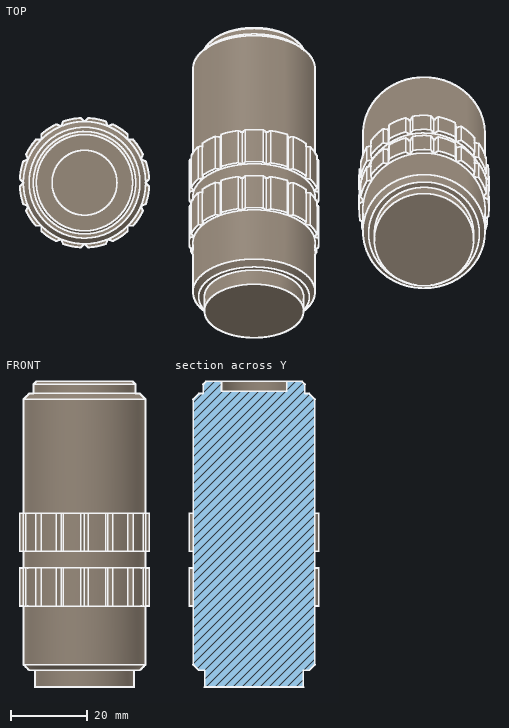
import cadquery as cq
import math

total_height = 80.0
body_radius = 16.0
body_chamfer = 1.5

bottom_neck_radius = 13.0
bottom_neck_height = 4.4
top_neck_radius = 13.4
top_neck_height = 3.2
top_neck_chamfer = 0.8

bore_radius = 8.5
bore_depth = 2.6

ring_radius = 17.0
ring_height = 10.0
ring_gap = 4.3
lower_ring_bottom = 21.2
ring_bottoms = [lower_ring_bottom, lower_ring_bottom + ring_height + ring_gap]
groove_count = 16
groove_angle = 90.0


def cylinder(radius, bottom, height):
    return cq.Workplane("XY").workplane(offset=bottom).circle(radius).extrude(height)


def make_body():
    """Barrel chamfered at both ends, with a neck below and a bored neck above."""
    body_height = total_height - bottom_neck_height - top_neck_height
    body_top = bottom_neck_height + body_height
    barrel = cylinder(body_radius, bottom_neck_height, body_height)
    barrel = barrel.faces("<Z or >Z").chamfer(body_chamfer)
    bottom_neck = cylinder(bottom_neck_radius, 0, bottom_neck_height)
    top_neck = cylinder(top_neck_radius, body_top, top_neck_height)
    top_neck = top_neck.faces(">Z").chamfer(top_neck_chamfer)
    bore = cylinder(bore_radius, total_height - bore_depth, bore_depth)
    return barrel.union(bottom_neck).union(top_neck).cut(bore)


def make_grooves(bottom):
    """V wedges whose tips lie on the body surface and which open outwards."""
    wedge_depth = 2 * (ring_radius - body_radius)
    half_width = wedge_depth * math.tan(math.radians(groove_angle / 2))
    wedge = (
        cq.Workplane("XY")
        .workplane(offset=bottom)
        .moveTo(body_radius, 0)
        .lineTo(body_radius + wedge_depth, half_width)
        .lineTo(body_radius + wedge_depth, -half_width)
        .close()
        .extrude(ring_height)
    )
    grooves = cq.Workplane("XY")
    for index in range(groove_count):
        angle = index * 360 / groove_count
        grooves.add(wedge.rotate((0, 0, 0), (0, 0, 1), angle))
    return grooves


result = make_body()
for ring_bottom in ring_bottoms:
    result = result.union(cylinder(ring_radius, ring_bottom, ring_height))
    for groove in make_grooves(ring_bottom).vals():
        result = result.cut(cq.Workplane(groove))